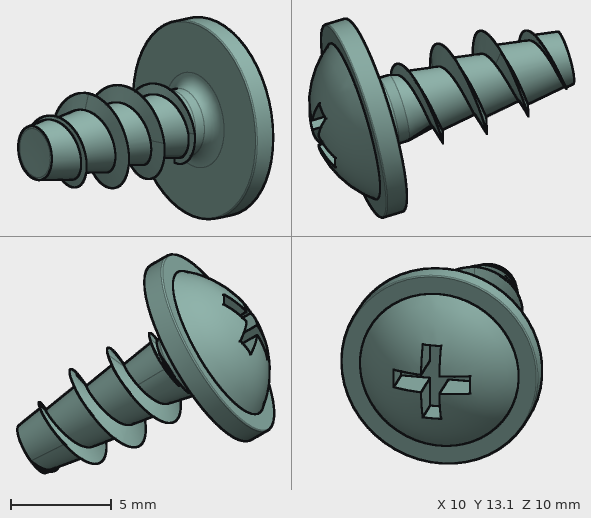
import cadquery as cq
import math


flange_diameter = 10.0
flange_thickness = 1.1
rim_round = 0.07
dome_base_radius = 4.04
dome_height = 2.05

wing_width = 0.93
wing_reach = 1.94

shank_length = 10.0
neck_radius = 1.7
neck_fillet = 0.7
neck_end = 1.25
neck_taper_length = 1.18
core_radius = 1.35
tip_land = 0.12
tip_dish_depth = 0.08

pitch = 2.24
start_angle = -90.0
end_turn = 4.0
helix_start = shank_length - end_turn * pitch
lead_in_turns = 0.25
full_height_turn = 1.25
fade_turn = 2.5
start_crest_radius = 1.98
crest_radius = 2.5
flank_angle = 15.0
lead_in_thickness = 0.05

ramp_foot_radius = 1.36
ramp_length = 0.98 * pitch
ramp_slope = (neck_radius - ramp_foot_radius) / ramp_length
ramp_first_turn = -0.2
ramp_last_turn = 3.9
buried_radius = 1.18

samples_per_turn = 16
minimum_samples = 4


def helix_height(turn):
    return helix_start + pitch * turn


def lead_in_share(turn):
    """0 at the thread start, 1 once the lead-in is over."""
    return min(turn / lead_in_turns, 1.0)


def crest_height(turn):
    """The lead-in crest starts at the end of the neck and joins the helix."""
    share = lead_in_share(turn)
    return helix_height(turn) + (1 - share) * (neck_end - helix_start)


def crest_radius_at(turn):
    """Rises from the start, stays full, then fades into the core at the tip."""
    rise = (crest_radius - start_crest_radius) * min(turn / full_height_turn, 1.0)
    fade_share = max(turn - fade_turn, 0.0) / (end_turn - fade_turn)
    return start_crest_radius + rise - (crest_radius - core_radius) * fade_share


def flight_section(turn):
    """(radius, height) corners of the thread flight."""
    height = crest_height(turn)
    radius = crest_radius_at(turn)
    thickness = max(lead_in_share(turn), lead_in_thickness)
    half_base = thickness * (radius - buried_radius) * math.tan(math.radians(flank_angle))
    return [
        (buried_radius, height - half_base),
        (radius, height),
        (buried_radius, height + half_base),
    ]


def ramp_section(turn):
    """(radius, height) corners of the core ramp behind a flight."""
    head = max(helix_height(turn), neck_end)
    foot = min(helix_height(turn) + ramp_length, shank_length)
    head_radius = neck_radius
    if foot == shank_length:
        head_radius = ramp_foot_radius + ramp_slope * (foot - head)
    return [
        (buried_radius, head),
        (head_radius, head),
        (ramp_foot_radius, foot),
        (buried_radius, foot),
    ]


def helical_solid(section, first_turn, last_turn):
    """Solid swept by a section that may change its shape along the helix."""
    steps = max(minimum_samples, math.ceil((last_turn - first_turn) * samples_per_turn))
    turns = [first_turn + (last_turn - first_turn) * i / steps for i in range(steps + 1)]
    corner_paths = []
    for corner in range(len(section(first_turn))):
        points = []
        for turn in turns:
            radius, height = section(turn)[corner]
            angle = math.radians(start_angle + 360 * turn)
            points.append(cq.Vector(radius * math.cos(angle), radius * math.sin(angle), height))
        corner_paths.append(cq.Edge.makeSpline(points))
    faces = []
    for path, next_path in zip(corner_paths, corner_paths[1:] + corner_paths[:1]):
        faces.append(cq.Face.makeRuledSurface(path, next_path))
    for end in (0, 1):
        corners = [path.positionAt(end) for path in corner_paths]
        faces.append(cq.Face.makeFromWires(cq.Wire.makePolygon(corners, close=True)))
    solid = cq.Solid.makeSolid(cq.Shell.makeShell(faces))
    return cq.Workplane(solid.fix())


def make_blank():
    """Flange, dome, neck and plain core as one turned body."""
    dome_radius = (dome_base_radius**2 + dome_height**2) / (2 * dome_height)
    dome_angle = math.asin(dome_base_radius / dome_radius) / 2
    dome_top = -flange_thickness - dome_height
    dome_middle = (
        dome_radius * math.sin(dome_angle),
        dome_top + dome_radius * (1 - math.cos(dome_angle)),
    )
    flange = (
        cq.Workplane("XY")
        .circle(flange_diameter / 2)
        .extrude(-flange_thickness)
        .edges()
        .fillet(rim_round)
    )
    dome = (
        cq.Workplane("YZ")
        .moveTo(0, dome_top)
        .threePointArc(dome_middle, (dome_base_radius, -flange_thickness))
        .lineTo(dome_base_radius, -flange_thickness / 2)
        .lineTo(0, -flange_thickness / 2)
        .close()
        .revolve(360, (0, 0), (0, 1))
    )
    diagonal = neck_fillet * (1 - math.sqrt(0.5))
    shank = (
        cq.Workplane("YZ")
        .moveTo(0, -flange_thickness / 2)
        .lineTo(neck_radius + neck_fillet, -flange_thickness / 2)
        .lineTo(neck_radius + neck_fillet, 0)
        .threePointArc((neck_radius + diagonal, diagonal), (neck_radius, neck_fillet))
        .lineTo(neck_radius, neck_end)
        .lineTo(core_radius, neck_end + neck_taper_length)
        .lineTo(core_radius, shank_length)
        .lineTo(0, shank_length)
        .close()
        .revolve(360, (0, 0), (0, 1))
    )
    return flange.union(dome).union(shank)


def make_recess():
    """Cross-shaped cutter from above the dome down to the top of the flange."""
    level = cq.Workplane("XY").workplane(offset=-flange_thickness)
    wing = level.rect(2 * wing_reach, wing_width).extrude(-dome_height)
    return wing.union(wing.rotate((0, 0, 0), (0, 0, 1), 90))


def make_tip_dish():
    """Shallow spherical hollow in the tip, inside a narrow flat land."""
    dish_edge_radius = core_radius - tip_land
    sphere_radius = (dish_edge_radius**2 + tip_dish_depth**2) / (2 * tip_dish_depth)
    sphere_centre = shank_length - tip_dish_depth + sphere_radius
    return cq.Workplane("XY").sphere(sphere_radius).translate((0, 0, sphere_centre))


def make_tip_trim():
    """Disc beyond the tip that cuts off the run-out of the thread."""
    return cq.Workplane("XY").workplane(offset=shank_length).circle(crest_radius).extrude(pitch)


screw = make_blank()

neck_end_turn = (neck_end - helix_start) / pitch
ramp_stations = [ramp_first_turn, neck_end_turn, end_turn - ramp_length / pitch, ramp_last_turn]
for first, last in zip(ramp_stations, ramp_stations[1:]):
    screw = screw.union(helical_solid(ramp_section, first, last))

flight_stations = [0, lead_in_turns, full_height_turn, fade_turn, end_turn]
for first, last in zip(flight_stations, flight_stations[1:]):
    screw = screw.union(helical_solid(flight_section, first, last))

screw = screw.cut(make_recess()).cut(make_tip_dish()).cut(make_tip_trim())

result = screw.rotate((0, 0, 0), (1, 0, 0), 90)